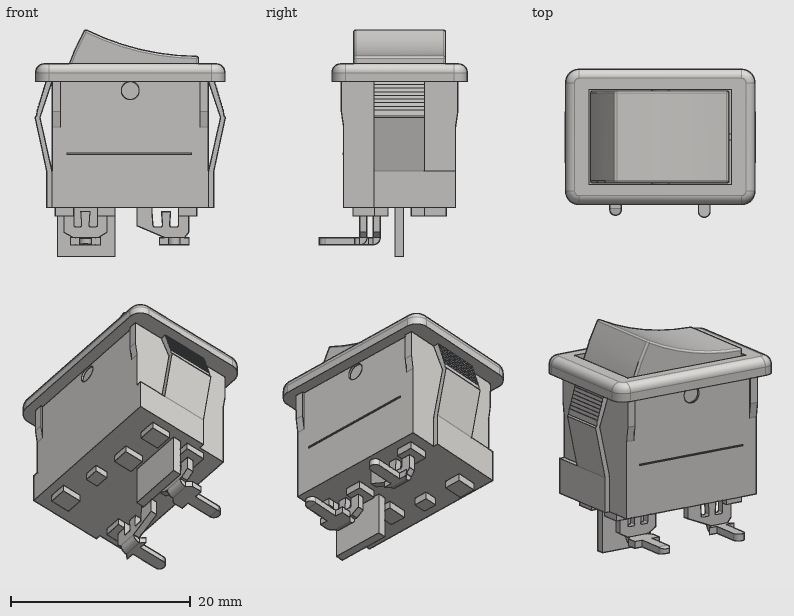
import cadquery as cq


BEZEL_LENGTH = 21.1
BEZEL_WIDTH = 15.1
BEZEL_HEIGHT = 2.0
BEZEL_CORNER = 1.52
BEZEL_ROUND = 1.0

WELL_LENGTH = 15.85
WELL_WIDTH = 10.6
WELL_FLOOR = -1.0
STOP_WIDTH = 0.65
STOP_THICKNESS = 0.3
STOP_TOP = 0.95

ROCKER_WIDTH = 10.25
ROCKER_ROUND = 0.25
ROCKER_PEAK = (-5.02, 5.83)
ROCKER_FLANK_MIDDLE = (-6.82, 2.0)
ROCKER_FLANK_FOOT = (-7.88, -1.4)
ROCKER_DISH_MIDDLE = (1.04, 3.6)
ROCKER_LOW_EDGE = (7.6, 2.83)
ROCKER_TOE_X = 7.68
PIVOT_DIAMETER = 2.0
PIVOT_Z = -PIVOT_DIAMETER / 2
PIVOT_RECESS = 0.25

BODY_LENGTH = 17.42
BODY_WIDTH = 12.5
BODY_BOTTOM = -14.05
PAD_LENGTH = 0.95
PAD_THICKNESS = 0.25
PAD_STRAIGHT_END = -3.3
PAD_TAPER_END = -5.05
RULE_X = (-7.02, 6.85)
RULE_HEIGHT = 0.13
RULE_THICKNESS = 0.08
RULE_Z = -8.03

SPRING_FRONT = -2.85
SPRING_BACK = 2.75
SPRING_THICKNESS = 0.6
SPRING_ROOT_Z = -9.97
SPRING_PEAK = (10.6, -4.0)
SPRING_INNER_PEAK = (10.05, -4.0)
SPRING_TOP_X = 9.4
STEP_COUNT = 8
STEP_HEIGHT = 0.4
STEP_START_Z = 0.08
LOWEST_STEP_END = (10.45, -3.81)
STEP_SLOPE = 0.08
STEP_LEDGE = 0.045

COMMON_LEFT = -8.1
COMMON_RIGHT = -1.7
COMMON_FRONT = -0.53
COMMON_THICKNESS = 0.98
COMMON_BOTTOM = -19.5
BLADE_THICKNESS = 0.8
BLADE_BOTTOM = -17.37
SHOULDER_Z = -16.77
FOOT_WIDTH = 3.3
NECK_WIDTH = 2.25
FOOT_WIDENING = (FOOT_WIDTH - NECK_WIDTH) / 2
PIN_WIDTH = 1.31
PIN_LENGTH = 3.96
TIP_LENGTH = 0.78
TIP_TAPER = 0.13
TONGUE_TOP = -14.47
TONGUE_TOP_WIDTH = 1.04
TONGUE_ROOT_WIDTH = 0.78
SLOT_BOTTOM = -16.19
SLOT_ROUND = 0.2
EMBED = 0.25

LEFT_BLADE_BACK = -2.15
LEFT_BLADE_X = (-7.4, -2.58)
LEFT_BLADE_END_X = (-6.36, -3.55)
LEFT_TONGUE_X = -5.0
LEFT_CUTOUT_X = (-6.29, -6.29, -3.65)
LEFT_FOOT_X = -4.97
LEFT_TIP_Y = -8.74

RIGHT_BLADE_BACK = -3.64
RIGHT_BLADE_X = (0.73, 6.55)
RIGHT_BLADE_END_X = (3.81, 6.05)
RIGHT_BLADE_SHOULDER_Z = -16.05
RIGHT_TONGUE_X = 4.0
RIGHT_CUTOUT_X = (2.4, 2.55, 5.35)
RIGHT_FOOT_X = 4.9
RIGHT_TIP_Y = -8.96

BOSS_HEIGHT = 0.93
PAIRED_BOSSES = (
    (-8.35, -6.3, 1.3, 3.69),
    (-3.65, COMMON_RIGHT, 1.3, 3.69),
    (5.38, 7.42, 2.78, 5.2),
)
BACK_BOSS = (0.73, 2.42, 2.78, 4.35)


def block(x_range, y_range, z_range):
    """Box given by its limits along each axis."""
    size = [limits[1] - limits[0] for limits in (x_range, y_range, z_range)]
    return cq.Workplane("XY").box(*size, centered=False).translate((x_range[0], y_range[0], z_range[0]))


def extrude_along_y(profile, y_back, depth):
    """Extrude an XZ profile from y_back toward -Y."""
    return profile.extrude(depth).translate((0, y_back, 0))


def both_ends(solid):
    """The solid together with its mirror image in the YZ plane."""
    return solid.union(solid.mirror("YZ"))


def make_bezel():
    plate = cq.Workplane("XY").rect(BEZEL_LENGTH, BEZEL_WIDTH).extrude(BEZEL_HEIGHT)
    return plate.edges("|Z").fillet(BEZEL_CORNER).faces(">Z").edges().fillet(BEZEL_ROUND)


def make_corner_pads():
    """Tapered pads that thicken the upper corners of the body."""
    face = BODY_WIDTH / 2
    outline = [
        (face - EMBED, 0),
        (face + PAD_THICKNESS, 0),
        (face + PAD_THICKNESS, PAD_STRAIGHT_END),
        (face, PAD_TAPER_END),
        (face - EMBED, PAD_TAPER_END),
    ]
    pad = cq.Workplane("YZ").polyline(outline).close().extrude(PAD_LENGTH)
    pads = both_ends(pad.translate((BODY_LENGTH / 2 - PAD_LENGTH, 0, 0)))
    return pads.union(pads.mirror("XZ"))


def make_housing():
    body = cq.Workplane("XY").rect(BODY_LENGTH, BODY_WIDTH).extrude(BODY_BOTTOM)
    rule = block(
        RULE_X,
        (-BODY_WIDTH / 2 - RULE_THICKNESS, -BODY_WIDTH / 2),
        (RULE_Z - RULE_HEIGHT / 2, RULE_Z + RULE_HEIGHT / 2),
    )
    well = (
        cq.Workplane("XY").workplane(offset=WELL_FLOOR)
        .rect(WELL_LENGTH, WELL_WIDTH).extrude(BEZEL_HEIGHT - WELL_FLOOR)
    )
    stop = block(
        (WELL_LENGTH / 2 - STOP_THICKNESS, WELL_LENGTH / 2),
        (-STOP_WIDTH / 2, STOP_WIDTH / 2),
        (WELL_FLOOR, STOP_TOP),
    )
    return body.union(make_corner_pads()).union(make_bezel()).union(rule).cut(well).union(stop)


def pivot_cylinder(width):
    """Cylinder on the pivot axis, centred in Y."""
    circle = cq.Workplane("XZ").center(0, PIVOT_Z).circle(PIVOT_DIAMETER / 2)
    return circle.extrude(width / 2, both=True)


def make_rocker():
    """Rocker with a dished top, sunk into the well floor, and its pivot."""
    profile = (
        cq.Workplane("XZ").moveTo(*ROCKER_FLANK_FOOT)
        .threePointArc(ROCKER_FLANK_MIDDLE, ROCKER_PEAK)
        .threePointArc(ROCKER_DISH_MIDDLE, ROCKER_LOW_EDGE)
        .lineTo(ROCKER_TOE_X, ROCKER_FLANK_FOOT[1])
        .close()
    )
    rocker = extrude_along_y(profile, ROCKER_WIDTH / 2, ROCKER_WIDTH).edges().fillet(ROCKER_ROUND)
    return rocker.union(pivot_cylinder(WELL_WIDTH))


def make_pivot_recesses():
    """Blind pivot holes in the two long faces of the body."""
    floor_width = BODY_WIDTH - 2 * PIVOT_RECESS
    return pivot_cylinder(BODY_WIDTH).cut(pivot_cylinder(floor_width))


def make_spring():
    """Bent spring on the +X end: a stepped upper leg and a plain lower leg."""
    wall = BODY_LENGTH / 2
    outline = [(wall, 0), SPRING_INNER_PEAK, (wall, SPRING_ROOT_Z)]
    outline += [(wall + SPRING_THICKNESS, SPRING_ROOT_Z), SPRING_PEAK, LOWEST_STEP_END]
    step_pitch = STEP_SLOPE + STEP_LEDGE
    lowest_top_z = STEP_START_Z - STEP_COUNT * STEP_HEIGHT
    outline.append((SPRING_TOP_X + STEP_COUNT * step_pitch, lowest_top_z))
    for step in reversed(range(STEP_COUNT)):
        top_x = SPRING_TOP_X + step * step_pitch
        top_z = STEP_START_Z - step * STEP_HEIGHT
        outline.append((top_x + STEP_SLOPE, top_z - STEP_HEIGHT))
        outline.append((top_x, top_z))
    profile = cq.Workplane("XZ").polyline(outline).close()
    spring = extrude_along_y(profile, SPRING_BACK, SPRING_BACK - SPRING_FRONT)
    base = block(
        (wall, wall + SPRING_THICKNESS),
        (SPRING_FRONT, BODY_WIDTH / 2),
        (BODY_BOTTOM, SPRING_ROOT_Z),
    )
    return spring.union(base)


def make_bosses():
    def boss(left, right, near, far):
        return block((left, right), (near, far), (BODY_BOTTOM - BOSS_HEIGHT, BODY_BOTTOM))

    bosses = boss(*BACK_BOSS)
    for limits in PAIRED_BOSSES:
        back_boss = boss(*limits)
        bosses = bosses.union(back_boss).union(back_boss.mirror("XZ"))
    return bosses


def make_cutout(tongue_x, cutout_x, y_back):
    """Two joined slots that leave a tongue; cutout_x is the left top, left bottom and right side."""
    left_top, left_bottom, right = cutout_x
    outline = [
        (left_top, BODY_BOTTOM),
        (left_bottom, SLOT_BOTTOM),
        (tongue_x - TONGUE_ROOT_WIDTH / 2, SLOT_BOTTOM),
        (tongue_x - TONGUE_TOP_WIDTH / 2, TONGUE_TOP),
        (tongue_x + TONGUE_TOP_WIDTH / 2, TONGUE_TOP),
        (tongue_x + TONGUE_ROOT_WIDTH / 2, SLOT_BOTTOM),
        (right, SLOT_BOTTOM),
        (right, BODY_BOTTOM),
    ]
    cutout = extrude_along_y(cq.Workplane("XZ").polyline(outline).close(), y_back, BLADE_THICKNESS)
    return cutout.faces("<Z").edges("|Y").fillet(SLOT_ROUND)


def make_blade(blade_x, end_x, left_shoulder_z, y_back):
    """Upright plate that narrows toward its lower end."""
    outline = [
        (blade_x[0], BODY_BOTTOM + EMBED),
        (blade_x[0], left_shoulder_z),
        (end_x[0], BLADE_BOTTOM),
        (end_x[1], BLADE_BOTTOM),
        (blade_x[1], SHOULDER_Z),
        (blade_x[1], BODY_BOTTOM + EMBED),
    ]
    return extrude_along_y(cq.Workplane("XZ").polyline(outline).close(), y_back, BLADE_THICKNESS)


def make_bend(foot_x, y_back):
    """Quarter-round bend between the blade and the foot."""
    inner_y = y_back - BLADE_THICKNESS
    neck_x = (foot_x - NECK_WIDTH / 2, foot_x + NECK_WIDTH / 2)
    profile = cq.Workplane("YZ").center(inner_y, BLADE_BOTTOM).circle(BLADE_THICKNESS)
    rod = profile.extrude(NECK_WIDTH).translate((neck_x[0], 0, 0))
    quarter = block(neck_x, (inner_y, y_back), (BLADE_BOTTOM - BLADE_THICKNESS, BLADE_BOTTOM))
    return rod.intersect(quarter)


def make_foot(foot_x, y_start, tip_y):
    """Flat foot with shoulders and a round-ended pin pointing toward -Y."""
    half_neck = NECK_WIDTH / 2
    half_foot = FOOT_WIDTH / 2
    half_pin = PIN_WIDTH / 2
    y_wide = y_start - FOOT_WIDENING
    y_shoulder = tip_y + PIN_LENGTH
    profile = (
        cq.Workplane("XY").workplane(offset=BLADE_BOTTOM - BLADE_THICKNESS)
        .moveTo(foot_x - half_neck, y_start)
        .lineTo(foot_x - half_foot, y_wide)
        .lineTo(foot_x - half_foot, y_shoulder)
        .lineTo(foot_x - half_pin, y_shoulder)
        .lineTo(foot_x - half_pin, tip_y + half_pin)
        .threePointArc((foot_x, tip_y), (foot_x + half_pin, tip_y + half_pin))
        .lineTo(foot_x + half_pin, y_shoulder)
        .lineTo(foot_x + half_foot, y_shoulder)
        .lineTo(foot_x + half_foot, y_wide)
        .lineTo(foot_x + half_neck, y_start)
        .close()
    )
    return profile.extrude(BLADE_THICKNESS)


def taper_tip(foot, tip_y):
    """Slope the top and bottom of the pin toward its tip."""
    foot_bottom = BLADE_BOTTOM - BLADE_THICKNESS
    tip_limits = ((BLADE_BOTTOM, BLADE_BOTTOM - TIP_TAPER), (foot_bottom, foot_bottom + TIP_TAPER))
    for flat_z, tip_z in tip_limits:
        wedge = cq.Workplane("YZ").polyline([(tip_y + TIP_LENGTH, flat_z), (tip_y, flat_z), (tip_y, tip_z)])
        foot = foot.cut(wedge.close().extrude(BEZEL_LENGTH / 2, both=True))
    return foot


def make_left_terminal():
    """Terminal whose pin has a tapered tip."""
    blade = make_blade(LEFT_BLADE_X, LEFT_BLADE_END_X, SHOULDER_Z, LEFT_BLADE_BACK)
    blade = blade.cut(make_cutout(LEFT_TONGUE_X, LEFT_CUTOUT_X, LEFT_BLADE_BACK))
    foot = make_foot(LEFT_FOOT_X, LEFT_BLADE_BACK - BLADE_THICKNESS, LEFT_TIP_Y)
    return blade.union(make_bend(LEFT_FOOT_X, LEFT_BLADE_BACK)).union(taper_tip(foot, LEFT_TIP_Y))


def make_right_terminal():
    """Terminal with a one-sided wide blade and a plain pin."""
    blade = make_blade(RIGHT_BLADE_X, RIGHT_BLADE_END_X, RIGHT_BLADE_SHOULDER_Z, RIGHT_BLADE_BACK)
    blade = blade.cut(make_cutout(RIGHT_TONGUE_X, RIGHT_CUTOUT_X, RIGHT_BLADE_BACK))
    foot = make_foot(RIGHT_FOOT_X, RIGHT_BLADE_BACK - BLADE_THICKNESS, RIGHT_TIP_Y)
    return blade.union(make_bend(RIGHT_FOOT_X, RIGHT_BLADE_BACK)).union(foot)


def make_common_terminal():
    return block(
        (COMMON_LEFT, COMMON_RIGHT),
        (COMMON_FRONT, COMMON_FRONT + COMMON_THICKNESS),
        (COMMON_BOTTOM, BODY_BOTTOM),
    )


result = (
    make_housing()
    .union(make_rocker())
    .cut(make_pivot_recesses())
    .union(both_ends(make_spring()))
    .union(make_bosses())
    .union(make_common_terminal())
    .union(make_left_terminal())
    .union(make_right_terminal())
)